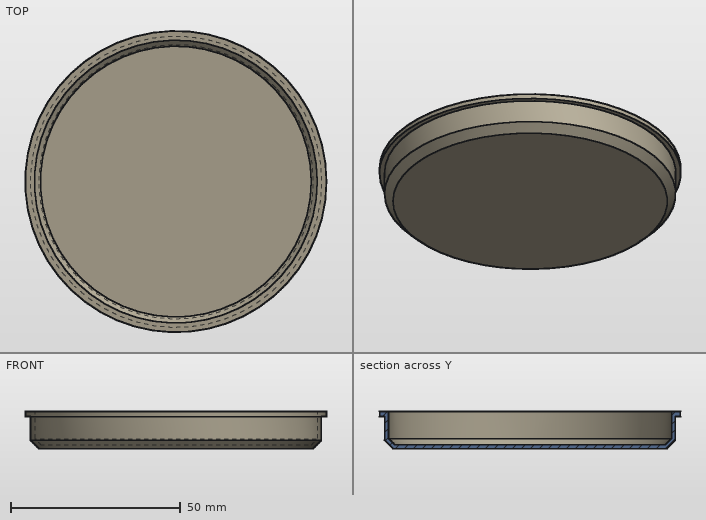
import cadquery as cq

rim_diameter = 89.0
height = 11.0
rim_thickness = 1.5

body_diameter = 86.0
wall = 1.25
outer_chamfer = 2.5

cavity_diameter = body_diameter - 2 * wall
floor_thickness = wall
inner_chamfer = 1.8


def disc(diameter, thickness, base_z):
    """Upright cylinder centred on the Z axis, with its bottom at base_z."""
    return cq.Workplane("XY").workplane(offset=base_z).circle(diameter / 2).extrude(thickness)


body = disc(body_diameter, height, 0).faces("<Z").edges().chamfer(outer_chamfer)
rim = disc(rim_diameter, rim_thickness, height - rim_thickness)

cavity = disc(cavity_diameter, height - floor_thickness, floor_thickness)
cavity = cavity.faces("<Z").edges().chamfer(inner_chamfer)

result = body.union(rim).cut(cavity)